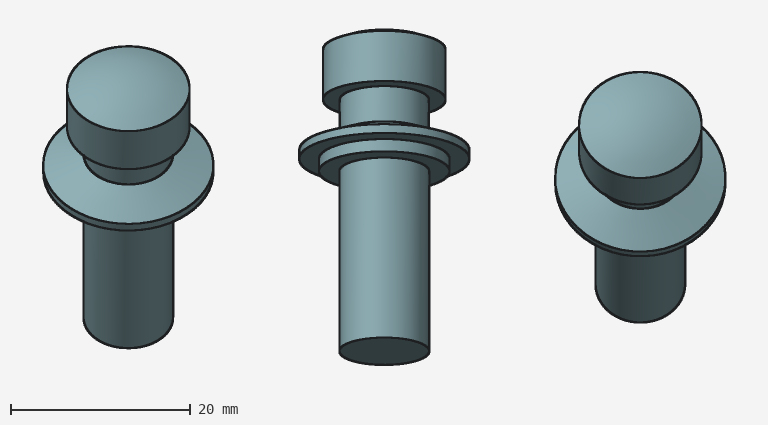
import cadquery as cq

SHAFT_DIAMETER = 10.0
NECK_DIAMETER = 9.93
HEAD_DIAMETER = 13.65
FLANGE_DIAMETER = 18.95
RING_DIAMETER = 14.53

SHAFT_LENGTH = 21.0
RING_HEIGHT = 1.45
FLANGE_RIM_HEIGHT = 1.03
FLANGE_CONE_HEIGHT = 1.75
NECK_HEIGHT = 4.12
DOME_HEIGHT = 1.58
TOTAL_HEIGHT = 36.78

flange_bottom = SHAFT_LENGTH + RING_HEIGHT
cone_bottom = flange_bottom + FLANGE_RIM_HEIGHT
cone_top = cone_bottom + FLANGE_CONE_HEIGHT
head_bottom = cone_top + NECK_HEIGHT
dome_bottom = TOTAL_HEIGHT - DOME_HEIGHT

shaft_radius = SHAFT_DIAMETER / 2
neck_radius = NECK_DIAMETER / 2
head_radius = HEAD_DIAMETER / 2
flange_radius = FLANGE_DIAMETER / 2


def make_button():
    """Domed head, neck, conical flange and shaft, turned as one solid."""
    dome_radius = (head_radius**2 + DOME_HEIGHT**2) / (2 * DOME_HEIGHT)
    half_chord = head_radius / 2
    dome_center = TOTAL_HEIGHT - dome_radius
    dome_middle = dome_center + (dome_radius**2 - half_chord**2) ** 0.5
    profile = (
        cq.Workplane("XZ")
        .lineTo(shaft_radius, 0)
        .lineTo(shaft_radius, flange_bottom)
        .lineTo(flange_radius, flange_bottom)
        .lineTo(flange_radius, cone_bottom)
        .lineTo(shaft_radius, cone_top)
        .lineTo(neck_radius, cone_top)
        .lineTo(neck_radius, head_bottom)
        .lineTo(head_radius, head_bottom)
        .lineTo(head_radius, dome_bottom)
        .threePointArc((half_chord, dome_middle), (0, TOTAL_HEIGHT))
        .close()
    )
    return profile.revolve(360, (0, 0), (0, 1))


def make_sealing_ring():
    """Plain ring around the shaft, seated under the flange."""
    return (
        cq.Workplane("XY", origin=(0, 0, SHAFT_LENGTH))
        .circle(RING_DIAMETER / 2)
        .circle(shaft_radius)
        .extrude(RING_HEIGHT)
    )


button = make_button()
sealing_ring = make_sealing_ring()

result = cq.Compound.makeCompound([button.val(), sealing_ring.val()])